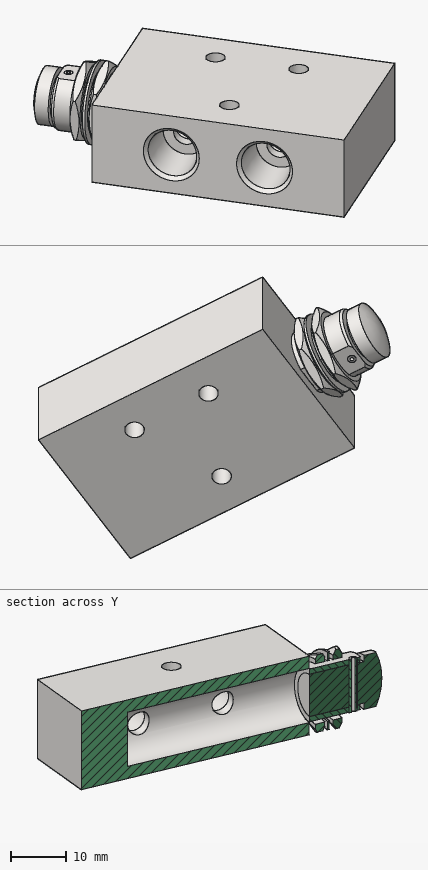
import cadquery as cq
import math


OVERALL_LENGTH = 63.1

BLOCK_LENGTH = 47.8
BLOCK_WIDTH = 31.75
BLOCK_HEIGHT = 15.8
BLOCK_MID_X = BLOCK_LENGTH / 2

MOUNT_DIAMETER = 3.55
MOUNT_PITCH_X = 15.8
MOUNT_OFFSET_Y = 8.65

PORT_OFFSET_X = 8.85
PORT_MOUTH_RADIUS = 5.3
PORT_THREAD_RADIUS = 4.6
PORT_FLOOR_RADIUS = 4.2
PORT_CHAMFER_DEPTH = 0.7
PORT_DEPTH = 8.85
PORT_PASSAGE_DIAMETER = 4.5
BORE_RADIUS = 5.35
BORE_LENGTH = BLOCK_MID_X + PORT_OFFSET_X + BORE_RADIUS

SLEEVE_RADIUS = 6.0
SLEEVE_LENGTH = 10.7
SLEEVE_ACROSS_FLATS = 10.6
SLEEVE_CHAMFER_LENGTH = 0.5
SLEEVE_CHAMFER_DEPTH = 0.3

STEM_RADIUS = 4.15
CAP_RADIUS = 5.4
CAP_BACK_X = -11.4
DOME_EDGE_X = -14.0
DOME_TIP_X = BLOCK_LENGTH - OVERALL_LENGTH

PIN_X = -9.2
PIN_DIAMETER = 1.6
PIN_BORE_DIAMETER = 0.7
PIN_PROTRUSION = 0.1
PIN_TOP_Z = SLEEVE_ACROSS_FLATS / 2
PIN_BOTTOM_Z = -PIN_TOP_Z - PIN_PROTRUSION

NUT_SIDES = 6
NUT_STEP_ANGLE = 360 / NUT_SIDES
NUT_ACROSS_FLATS = 14.3
NUT_CORNER_RADIUS = NUT_ACROSS_FLATS / 2 / math.cos(math.radians(NUT_STEP_ANGLE / 2))
NUT_FACE_RADIUS = 6.95
NUT_CHAMFER_ANGLE = 30
NUT_CHAMFER_LENGTH = (NUT_CORNER_RADIUS - NUT_FACE_RADIUS) * math.tan(math.radians(NUT_CHAMFER_ANGLE))
OUTER_NUT_X = -6.9
OUTER_NUT_THICKNESS = 1.95
OUTER_NUT_TURN = -4.2
INNER_NUT_X = -3.3
INNER_NUT_THICKNESS = 2.1
INNER_NUT_TURN = 7.7

WASHER_RADIUS = 7.75
WASHER_X = -4.2
WASHER_THICKNESS = 0.45


def cylinder_x(radius, start_x, end_x):
    """Cylinder on the X axis from start_x to end_x."""
    return cq.Workplane("YZ", origin=(start_x, 0, 0)).circle(radius).extrude(end_x - start_x)


def cylinder_z(x, y, diameter, bottom_z, top_z):
    """Vertical cylinder from bottom_z to top_z."""
    return cq.Workplane("XY", origin=(x, y, bottom_z)).circle(diameter / 2).extrude(top_z - bottom_z)


def revolve_x(profile):
    """Turn a profile, drawn in X and radius, about the X axis."""
    return profile.close().revolve(360, (0, 0, 0), (1, 0, 0))


def port_cutter(x):
    """Chamfered, tapered port with a flat floor and a narrow passage to the bore."""
    face_y = -BLOCK_WIDTH / 2
    thread = (
        cq.Workplane("XY", origin=(x, 0, 0))
        .moveTo(0, face_y)
        .lineTo(PORT_MOUTH_RADIUS, face_y)
        .lineTo(PORT_THREAD_RADIUS, face_y + PORT_CHAMFER_DEPTH)
        .lineTo(PORT_FLOOR_RADIUS, face_y + PORT_DEPTH)
        .lineTo(0, face_y + PORT_DEPTH)
        .close()
        .revolve(360, (0, 0, 0), (0, 1, 0))
    )
    passage = (
        cq.Workplane("XZ", origin=(x, 0, 0))
        .circle(PORT_PASSAGE_DIAMETER / 2)
        .extrude(-face_y - PORT_DEPTH)
    )
    return thread.union(passage)


def make_block():
    block = cq.Workplane("XY").box(BLOCK_LENGTH, BLOCK_WIDTH, BLOCK_HEIGHT).translate((BLOCK_MID_X, 0, 0))
    block = block.cut(cylinder_x(BORE_RADIUS, 0, BORE_LENGTH))
    for side in (-1, 1):
        block = block.cut(port_cutter(BLOCK_MID_X + side * PORT_OFFSET_X))
    mount_places = [
        (BLOCK_MID_X - MOUNT_PITCH_X / 2, MOUNT_OFFSET_Y),
        (BLOCK_MID_X + MOUNT_PITCH_X / 2, MOUNT_OFFSET_Y),
        (BLOCK_MID_X, -MOUNT_OFFSET_Y),
    ]
    for x, y in mount_places:
        block = block.cut(cylinder_z(x, y, MOUNT_DIAMETER, -BLOCK_HEIGHT / 2, BLOCK_HEIGHT / 2))
    return block


def pin_hole():
    return cylinder_z(PIN_X, 0, PIN_DIAMETER, -SLEEVE_RADIUS, SLEEVE_RADIUS)


def make_sleeve():
    profile = (
        cq.Workplane("XY")
        .moveTo(0, STEM_RADIUS)
        .lineTo(0, SLEEVE_RADIUS)
        .lineTo(SLEEVE_CHAMFER_LENGTH - SLEEVE_LENGTH, SLEEVE_RADIUS)
        .lineTo(-SLEEVE_LENGTH, SLEEVE_RADIUS - SLEEVE_CHAMFER_DEPTH)
        .lineTo(-SLEEVE_LENGTH, STEM_RADIUS)
    )
    flats = cq.Workplane("XY").box(2 * SLEEVE_LENGTH, 2 * SLEEVE_RADIUS, SLEEVE_ACROSS_FLATS)
    return revolve_x(profile).intersect(flats).cut(pin_hole())


def make_button():
    rise = DOME_EDGE_X - DOME_TIP_X
    sphere_radius = (CAP_RADIUS**2 + rise**2) / (2 * rise)
    mid_angle = math.asin(CAP_RADIUS / sphere_radius) / 2
    mid_x = DOME_TIP_X + sphere_radius * (1 - math.cos(mid_angle))
    mid_radius = sphere_radius * math.sin(mid_angle)
    profile = (
        cq.Workplane("XY")
        .moveTo(DOME_TIP_X, 0)
        .threePointArc((mid_x, mid_radius), (DOME_EDGE_X, CAP_RADIUS))
        .lineTo(CAP_BACK_X, CAP_RADIUS)
        .lineTo(CAP_BACK_X, STEM_RADIUS)
        .lineTo(0, STEM_RADIUS)
        .lineTo(0, 0)
    )
    return revolve_x(profile).cut(pin_hole())


def make_pin():
    outside = cylinder_z(PIN_X, 0, PIN_DIAMETER, PIN_BOTTOM_Z, PIN_TOP_Z)
    return outside.cut(cylinder_z(PIN_X, 0, PIN_BORE_DIAMETER, PIN_BOTTOM_Z, PIN_TOP_Z))


def make_nut(left_x, thickness, turn):
    """Hexagon nut with its corners chamfered at both ends."""
    right_x = left_x + thickness
    corners = []
    for index in range(NUT_SIDES):
        angle = math.radians(turn + NUT_STEP_ANGLE * index)
        corners.append((NUT_CORNER_RADIUS * math.sin(angle), NUT_CORNER_RADIUS * math.cos(angle)))
    hexagon = cq.Workplane("YZ", origin=(left_x, 0, 0)).polyline(corners).close().extrude(thickness)
    chamfer_envelope = revolve_x(
        cq.Workplane("XY")
        .moveTo(left_x, 0)
        .lineTo(left_x, NUT_FACE_RADIUS)
        .lineTo(left_x + NUT_CHAMFER_LENGTH, NUT_CORNER_RADIUS)
        .lineTo(right_x - NUT_CHAMFER_LENGTH, NUT_CORNER_RADIUS)
        .lineTo(right_x, NUT_FACE_RADIUS)
        .lineTo(right_x, 0)
    )
    return hexagon.intersect(chamfer_envelope).cut(cylinder_x(SLEEVE_RADIUS, left_x, right_x))


def make_washer():
    end_x = WASHER_X + WASHER_THICKNESS
    return cylinder_x(WASHER_RADIUS, WASHER_X, end_x).cut(cylinder_x(SLEEVE_RADIUS, WASHER_X, end_x))


block = make_block()
sleeve = make_sleeve()
button = make_button()
pin = make_pin()
washer = make_washer()
nuts = []
for left_x, thickness, turn in (
    (OUTER_NUT_X, OUTER_NUT_THICKNESS, OUTER_NUT_TURN),
    (INNER_NUT_X, INNER_NUT_THICKNESS, INNER_NUT_TURN),
):
    nuts.append(make_nut(left_x, thickness, turn).val())

result = cq.Compound.makeCompound(
    [block.val(), sleeve.val(), button.val(), pin.val(), washer.val(), *nuts]
)